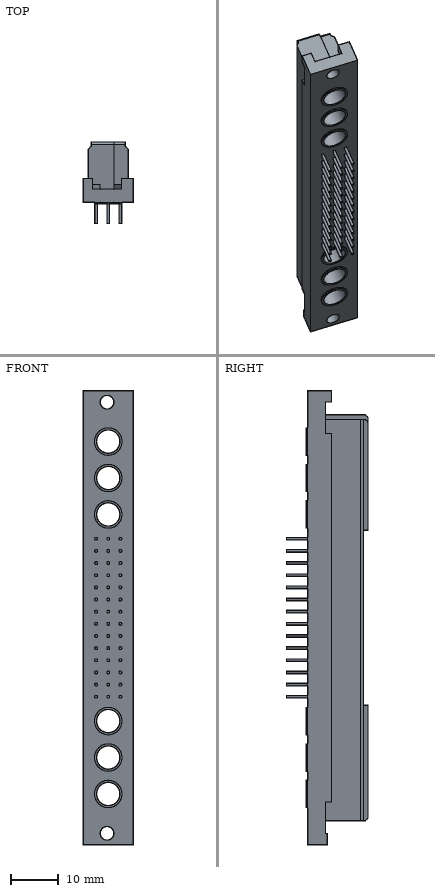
import cadquery as cq
import math

flange_width = 10.5
flange_length = 94.9
half_length = flange_length / 2
rail_height = 5.0
lower_hook_height = 4.15
ledge_height = 3.75
hook_length = 2.4
rail_half_length = 38.55

mount_hole_diameter = 2.8
mount_hole_x = -0.25
mount_hole_z = 45.05
nut_sides = 6
nut_corner_diameter = 6.0
nut_floor = 2.75
nut_flat_distance = nut_corner_diameter / 2 * math.cos(math.pi / nut_sides)

body_width = 8.4
body_half_length = mount_hole_z - nut_flat_distance
body_height = 11.7
body_chamfer = 0.6
key_step_x = 1.25
key_step_depth = 1.0

pad_width = body_width - 2 * body_chamfer
pad_length = 24.2
pad_top = 12.65
pad_end_chamfer = 0.6

pitch = 2.54
pin_columns = 3
pin_rows = 14
pin_diameter = 0.6
pin_length = 4.45

cavity_diameter = 4.82
collar_diameter = 5.75
collar_height = 0.3
cavity_count_per_end = 3
cavity_spacing = 3 * pitch
first_cavity_z = 8.5 * pitch


def block(x_range, y_range, z_range):
    """Axis-aligned box given by its limits."""
    limits = (x_range, y_range, z_range)
    sizes = [high - low for low, high in limits]
    corner = tuple(low for low, high in limits)
    return cq.Workplane("XY").box(*sizes, centered=False).translate(corner)


def centered_range(size):
    return (-size / 2, size / 2)


def rod(diameter, x, z, y_range):
    """Cylinder along Y."""
    start, end = y_range
    return (
        cq.Workplane("XZ", origin=(x, start, z))
        .circle(diameter / 2)
        .extrude(start - end)
    )


def make_flange():
    """Hook, ledge, rail, ledge, hook profile extruded across the width."""
    hook_inner_z = half_length - hook_length
    return (
        cq.Workplane("YZ", origin=(-flange_width / 2, 0, 0))
        .moveTo(0, -half_length)
        .lineTo(lower_hook_height, -half_length)
        .lineTo(lower_hook_height, -hook_inner_z)
        .lineTo(ledge_height, -hook_inner_z)
        .lineTo(ledge_height, -rail_half_length)
        .lineTo(rail_height, -rail_half_length)
        .lineTo(rail_height, rail_half_length)
        .lineTo(ledge_height, rail_half_length)
        .lineTo(ledge_height, hook_inner_z)
        .lineTo(rail_height, hook_inner_z)
        .lineTo(rail_height, half_length)
        .lineTo(0, half_length)
        .close()
        .extrude(flange_width)
    )


def make_nut_pocket(end):
    """Hexagon with corners on X, continued as a slot through the flange end."""
    hexagon = (
        cq.Workplane("XZ", origin=(mount_hole_x, nut_floor, end * mount_hole_z))
        .polygon(nut_sides, nut_corner_diameter)
        .extrude(nut_floor - rail_height)
    )
    slot = block(
        centered_range(nut_corner_diameter),
        (nut_floor, rail_height),
        (mount_hole_z, half_length),
    ).translate((mount_hole_x, 0, 0))
    if end < 0:
        slot = slot.mirror("XY")
    return hexagon.union(slot)


def make_pad(end):
    """Raised pad whose outer end edge is chamfered."""
    outer_z = end * body_half_length
    inner_z = end * (body_half_length - pad_length)
    return (
        cq.Workplane("YZ", origin=(-pad_width / 2, 0, 0))
        .moveTo(rail_height, inner_z)
        .lineTo(pad_top, inner_z)
        .lineTo(pad_top, outer_z - end * pad_end_chamfer)
        .lineTo(pad_top - pad_end_chamfer, outer_z)
        .lineTo(rail_height, outer_z)
        .close()
        .extrude(pad_width)
    )


def make_key_step():
    """Set-back of the upper end that repeats the pad's end chamfer lower down."""
    step_z = body_half_length - key_step_depth
    return (
        cq.Workplane("YZ", origin=(key_step_x, 0, 0))
        .moveTo(ledge_height, body_half_length)
        .lineTo(ledge_height, step_z)
        .lineTo(pad_top - pad_end_chamfer, step_z)
        .lineTo(pad_top, step_z - pad_end_chamfer)
        .lineTo(pad_top, body_half_length)
        .close()
        .extrude(body_width / 2 - key_step_x)
    )


def make_body():
    """Chamfered bar with two pads and a set-back corner at the upper end."""
    body = block(
        centered_range(body_width),
        (nut_floor, body_height),
        centered_range(2 * body_half_length),
    )
    body = body.edges("|Z and >Y").chamfer(body_chamfer)
    for end in (-1, 1):
        body = body.union(make_pad(end))
    return body.cut(make_key_step())


def add_pins(part):
    """Grid of round pins rooted in the flange and projecting from its back."""
    for column in range(pin_columns):
        x = (column - (pin_columns - 1) / 2) * pitch
        for row in range(pin_rows):
            z = (row - (pin_rows - 1) / 2) * pitch
            part = part.union(rod(pin_diameter, x, z, (-pin_length, nut_floor)))
    return part


def add_cavities(part):
    """Collared holes through the whole part, in a row towards each end."""
    for end in (-1, 1):
        for index in range(cavity_count_per_end):
            z = end * (first_cavity_z + index * cavity_spacing)
            part = part.union(rod(collar_diameter, 0, z, (-collar_height, nut_floor)))
            part = part.cut(rod(cavity_diameter, 0, z, (-collar_height, pad_top)))
    return part


def cut_mounting(flange):
    """Screw hole and nut pocket at each end of the flange."""
    for end in (-1, 1):
        flange = flange.cut(make_nut_pocket(end))
        hole = rod(mount_hole_diameter, mount_hole_x, end * mount_hole_z, (0, rail_height))
        flange = flange.cut(hole)
    return flange


part = cut_mounting(make_flange()).union(make_body())
part = add_cavities(part)
result = add_pins(part)